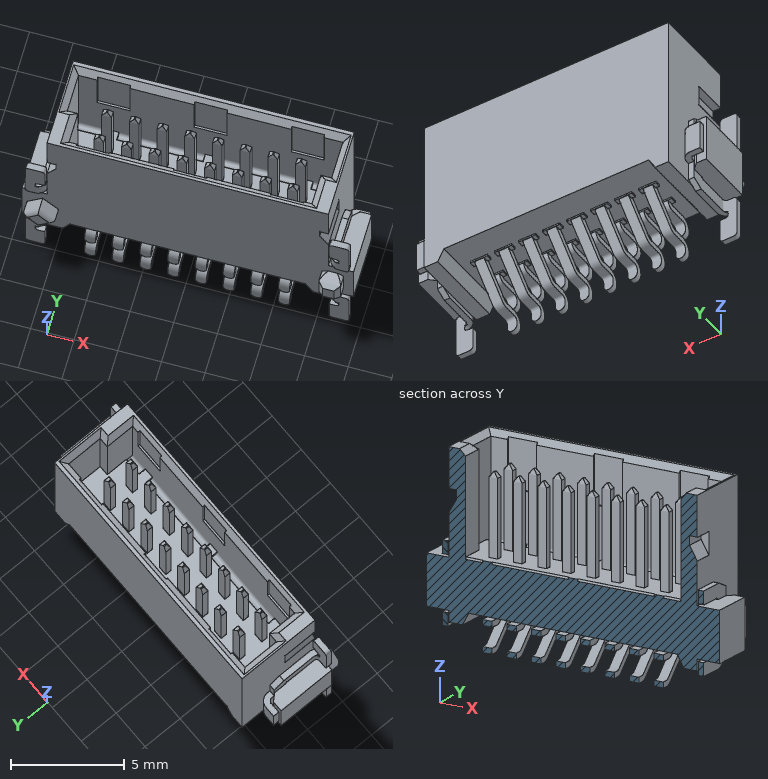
import cadquery as cq
import math


HALF_WIDTH = 6.45
DEPTH = 4.2
TOP_Z = 7.6
EAR_DROP = 0.6
EAR_TIP_X = 5.73
EAR_ROOT_X = 5.40

FLOOR_Z = 2.6
LEAD_IN = 0.3
CAVITY_HALF_WIDTH = 6.06
CAVITY_FRONT_Y = 0.44
CAVITY_BACK_Y = 3.71
KEY_HALF_WIDTH = 5.57
KEY_Y = 1.90

RIB_PITCH = 4.45
RECESS_WIDTH = 1.5
RECESS_DEPTH = 0.1
RECESS_BOTTOM_Z = 5.05
RIB_WIDTH = 0.5
GROOVE_RADIUS = 0.185

NOTCH_DEPTH = 0.4
NOTCH_LENGTH_Y = 1.74
NOTCH_TOP_Z = 5.63
NOTCH_BEND_Z = 5.20
NOTCH_BOTTOM_Z = 4.53

WING_OUTER_X = 15.21 / 2
WING_DEPTH = 2.92
WING_HEIGHT = 2.5
WING_MID_Z = 1.2
SLOT_OUTER_X = 6.78
SLOT_FRONT_Y = 1.99
SLOT_LEAD_IN = 0.3

PEG_X = 6.65
PEG_DIAMETER = 1.45
PEG_LENGTH = 0.75
PEG_TIP_LENGTH = 0.25
PEG_SHANK_LENGTH = PEG_LENGTH - PEG_TIP_LENGTH
DIAMOND_TIP_INSET = 0.16
FLAT_PEG_HALF_WIDTH = 0.5
FLAT_PEG_TIP_HALF_WIDTH = 0.26
FLAT_PEG_TIP_HALF_HEIGHT = 0.4
FLAT_PEG_ROOT_HALF_HEIGHT = 0.7

SHEET = 0.3
BOARD_Y = -0.13

CONTACTS_PER_ROW = 8
PITCH = 1.27
FRONT_ROW_Y = 1.43
BACK_ROW_Y = FRONT_ROW_Y + PITCH
PIN_WIDTH = 0.45
PIN_TOP_Z = 6.6
PIN_TIP_HEIGHT = 0.25
PIN_TIP_WIDTH = 0.05
PIN_TIP_THICKNESS = 0.15
LEG_WIDTH = 0.51
LEG_BEND_RADIUS = 0.2
FRONT_LEG_TOP_Z = -0.14
FRONT_LEG_END_Z = -1.08
BACK_LEG_TOP_Z = -1.40
BACK_LEG_END_Z = -2.34
FRONT_LEG_ROOT_RADIUS = 0.1
LEG_ROOT_Z = 0.3
BACK_LEG_HALF_BEND = math.radians(45) / 2
SHOULDER_WIDTH = 0.9
SHOULDER_DROP = 0.09

CLIP_BEND_RADIUS = 0.18
CLIP_BACK_Y = 2.63
CLIP_CHAMFER_START_Y = 2.07
CLIP_BACK_HALF_HEIGHT = 1.72
ARM_TOP = 2.0
ARM_BOTTOM = 1.34
MOUTH_CHAMFER_Y = 0.1
CURL_HALF_HEIGHT = 0.775
CURL_END_X = 7.48
CURL_INNER_Y = 2.95
FOOT_OUTER_X = 7.425
FOOT_INNER_X = 6.515
FOOT_TOP = 3.6
FOOT_CORNER_RADIUS = 0.18
RELIEF_WIDTH = 0.32

WING_BOTTOM_Z = WING_MID_Z - WING_HEIGHT / 2
CLIP_BEND_X = SLOT_OUTER_X + CLIP_BEND_RADIUS
CLIP_OUTER_RADIUS = CLIP_BEND_RADIUS + SHEET
CLIP_INNER_X = SLOT_OUTER_X - SHEET
SQRT_HALF = math.sqrt(0.5)


def box(x0, x1, y0, y1, z0, z1):
    """Box given by its limits on each axis."""
    return cq.Workplane("XY").box(x1 - x0, y1 - y0, z1 - z0, centered=False).translate((x0, y0, z0))


def mirrored_pair(shape):
    """A feature on the +X end together with its mirror image on the -X end."""
    return shape.union(shape.mirror("YZ"))


def rib_positions():
    return [-RIB_PITCH, 0, RIB_PITCH]



def shroud():
    outline = [
        (-HALF_WIDTH, TOP_Z),
        (HALF_WIDTH, TOP_Z),
        (HALF_WIDTH, -EAR_DROP),
        (EAR_TIP_X, -EAR_DROP),
        (EAR_ROOT_X, 0),
        (-EAR_ROOT_X, 0),
        (-EAR_TIP_X, -EAR_DROP),
        (-HALF_WIDTH, -EAR_DROP),
    ]
    return cq.Workplane("XZ").polyline(outline).close().extrude(-DEPTH)


def cavity_outline(z, grow):
    """T-shaped cavity outline at height z, moved outward by grow."""
    wide = CAVITY_HALF_WIDTH + grow
    narrow = KEY_HALF_WIDTH + grow
    front = CAVITY_FRONT_Y - grow
    back = CAVITY_BACK_Y + grow
    key = KEY_Y - grow
    points = [
        (-wide, back),
        (wide, back),
        (wide, key),
        (narrow, key),
        (narrow, front),
        (-narrow, front),
        (-narrow, key),
        (-wide, key),
    ]
    return cq.Workplane("XY").workplane(offset=z).polyline(points).close()


def cavity():
    straight = cavity_outline(FLOOR_Z, 0).extrude(TOP_Z - FLOOR_Z)
    mouth = cq.Solid.makeLoft(
        [
            cavity_outline(TOP_Z - LEAD_IN, 0).wire().val(),
            cavity_outline(TOP_Z, LEAD_IN).wire().val(),
        ],
        True,
    )
    return straight.union(cq.Workplane(mouth))


def wall_recesses():
    """Shallow recesses in both long cavity walls."""
    cutter = cq.Workplane("XY")
    for x in rib_positions():
        cutter = cutter.union(
            box(
                x - RECESS_WIDTH / 2, x + RECESS_WIDTH / 2,
                CAVITY_FRONT_Y - RECESS_DEPTH, CAVITY_BACK_Y + RECESS_DEPTH,
                RECESS_BOTTOM_Z, TOP_Z,
            )
        )
    return cutter


def floor_groove(y, half_length):
    """Half-round groove in the cavity floor, interrupted at each rib."""
    groove = (
        cq.Workplane("YZ")
        .center(y, FLOOR_Z)
        .circle(GROOVE_RADIUS)
        .extrude(half_length, both=True)
    )
    for x in rib_positions():
        groove = groove.cut(
            box(
                x - RIB_WIDTH / 2, x + RIB_WIDTH / 2,
                y - GROOVE_RADIUS, y + GROOVE_RADIUS,
                FLOOR_Z - GROOVE_RADIUS, FLOOR_Z + GROOVE_RADIUS,
            )
        )
    return groove


def end_notch():
    inner_x = HALF_WIDTH - NOTCH_DEPTH
    outline = [
        (HALF_WIDTH, NOTCH_TOP_Z),
        (inner_x, NOTCH_TOP_Z),
        (inner_x, NOTCH_BEND_Z),
        (HALF_WIDTH, NOTCH_BOTTOM_Z),
    ]
    return cq.Workplane("XZ").polyline(outline).close().extrude(-NOTCH_LENGTH_Y)


def wing():
    """Side block with a slot, open to the back, for the hold-down clip."""
    outline = [
        (HALF_WIDTH, 0),
        (WING_OUTER_X, 0),
        (WING_OUTER_X, WING_DEPTH),
        (SLOT_OUTER_X + SLOT_LEAD_IN, WING_DEPTH),
        (SLOT_OUTER_X, WING_DEPTH - SLOT_LEAD_IN),
        (SLOT_OUTER_X, SLOT_FRONT_Y),
        (HALF_WIDTH, SLOT_FRONT_Y),
    ]
    block = cq.Workplane("XY").polyline(outline).close().extrude(WING_HEIGHT)
    return block.translate((0, 0, WING_BOTTOM_Z))


def diamond_profile(plane):
    """Side profile of the square peg: straight shank and rounded tip."""
    half_side = PEG_DIAMETER / 2 * SQRT_HALF
    tip = half_side - DIAMOND_TIP_INSET
    tip_radius = (DIAMOND_TIP_INSET**2 + PEG_TIP_LENGTH**2) / (2 * DIAMOND_TIP_INSET)
    return (
        cq.Workplane(plane)
        .moveTo(-half_side, 0)
        .lineTo(half_side, 0)
        .lineTo(half_side, -PEG_SHANK_LENGTH)
        .radiusArc((tip, -PEG_LENGTH), tip_radius)
        .lineTo(-tip, -PEG_LENGTH)
        .radiusArc((-half_side, -PEG_SHANK_LENGTH), tip_radius)
        .close()
        .extrude(PEG_DIAMETER, both=True)
    )


def diamond_peg():
    """Square peg standing on its corner, on the -X wing."""
    peg = diamond_profile("XY").intersect(diamond_profile("ZY"))
    peg = peg.rotate((0, 0, 0), (0, 1, 0), 45)
    return peg.translate((-PEG_X, 0, WING_MID_Z))


def tapered_profile(plane, root, shoulder, tip):
    """Side profile of the flat peg, from its half widths at root, shoulder and tip."""
    points = [
        (-root, 0),
        (root, 0),
        (shoulder, -PEG_SHANK_LENGTH),
        (tip, -PEG_LENGTH),
        (-tip, -PEG_LENGTH),
        (-shoulder, -PEG_SHANK_LENGTH),
    ]
    return cq.Workplane(plane).polyline(points).close().extrude(PEG_DIAMETER, both=True)


def flat_peg():
    """Round peg with flat sides and sloping top and bottom, on the +X wing."""
    shoulder_half_height = math.sqrt((PEG_DIAMETER / 2) ** 2 - FLAT_PEG_HALF_WIDTH**2)
    peg = cq.Workplane("XZ").circle(PEG_DIAMETER / 2).extrude(PEG_LENGTH)
    peg = peg.intersect(
        tapered_profile("XY", FLAT_PEG_HALF_WIDTH, FLAT_PEG_HALF_WIDTH, FLAT_PEG_TIP_HALF_WIDTH)
    )
    peg = peg.intersect(
        tapered_profile("ZY", FLAT_PEG_ROOT_HALF_HEIGHT, shoulder_half_height, FLAT_PEG_TIP_HALF_HEIGHT)
    )
    return peg.translate((PEG_X, 0, WING_MID_Z))


def moulding():
    body = shroud().cut(cavity()).cut(wall_recesses())
    body = body.cut(floor_groove(CAVITY_BACK_Y - GROOVE_RADIUS, CAVITY_HALF_WIDTH))
    body = body.cut(floor_groove(CAVITY_FRONT_Y + GROOVE_RADIUS, KEY_HALF_WIDTH))
    body = body.cut(mirrored_pair(end_notch())).union(mirrored_pair(wing()))
    return body.union(diamond_peg()).union(flat_peg())



def pin(row_y):
    """Mating pin with a tapered tip, and its shoulder on the housing underside."""
    shank_top = PIN_TOP_Z - PIN_TIP_HEIGHT
    shank = box(
        -PIN_WIDTH / 2, PIN_WIDTH / 2,
        row_y - SHEET / 2, row_y + SHEET / 2,
        FLOOR_Z, shank_top,
    )
    tip = (
        cq.Workplane("XY")
        .workplane(offset=shank_top)
        .center(0, row_y)
        .rect(PIN_WIDTH, SHEET)
        .workplane(offset=PIN_TIP_HEIGHT)
        .rect(PIN_TIP_WIDTH, PIN_TIP_THICKNESS)
        .loft()
    )
    shoulder = box(
        -SHOULDER_WIDTH / 2, SHOULDER_WIDTH / 2,
        row_y - SHEET / 2, row_y + SHEET / 2,
        -SHOULDER_DROP, 0,
    )
    return shank.union(tip).union(shoulder)


def round_foot_end(leg, end_z):
    """Trim the foot of a leg to a half-round end."""
    radius = LEG_WIDTH / 2
    envelope = (
        cq.Workplane("XZ")
        .moveTo(-radius, TOP_Z)
        .lineTo(-radius, end_z + radius)
        .threePointArc((0, end_z), (radius, end_z + radius))
        .lineTo(radius, TOP_Z)
        .close()
        .extrude(-DEPTH)
        .translate((0, BOARD_Y, 0))
    )
    return leg.intersect(envelope)


def leg_path(top_z, end_z):
    """Centre line of a leg, from the foot end up around its bend to the level run."""
    radius = LEG_BEND_RADIUS + SHEET / 2
    foot_y = BOARD_Y + SHEET / 2
    level_z = top_z - SHEET / 2
    arc_mid = (foot_y + radius * (1 - SQRT_HALF), level_z - radius * (1 - SQRT_HALF))
    return (
        cq.Workplane("YZ")
        .moveTo(foot_y, end_z)
        .lineTo(foot_y, level_z - radius)
        .threePointArc(arc_mid, (foot_y + radius, level_z))
    )


def sweep_strip(path, end_z):
    """Sweep the flat contact section along a leg centre line starting at the foot end."""
    section = (
        cq.Workplane("XY")
        .workplane(offset=end_z)
        .center(0, BOARD_Y + SHEET / 2)
        .rect(LEG_WIDTH, SHEET)
    )
    return section.sweep(path, transition="right")


def front_leg():
    """Leg that turns straight from the housing underside toward the board."""
    radius = FRONT_LEG_ROOT_RADIUS + SHEET / 2
    level_z = FRONT_LEG_TOP_Z - SHEET / 2
    arc_mid = (FRONT_ROW_Y - radius * (1 - SQRT_HALF), level_z + radius * (1 - SQRT_HALF))
    path = (
        leg_path(FRONT_LEG_TOP_Z, FRONT_LEG_END_Z)
        .lineTo(FRONT_ROW_Y - radius, level_z)
        .threePointArc(arc_mid, (FRONT_ROW_Y, level_z + radius))
        .lineTo(FRONT_ROW_Y, LEG_ROOT_Z)
    )
    return round_foot_end(sweep_strip(path, FRONT_LEG_END_Z), FRONT_LEG_END_Z)


def back_leg():
    """Leg that slopes down at 45 degrees behind the front row, then runs level to the board."""
    radius = LEG_BEND_RADIUS + SHEET / 2
    level_z = BACK_LEG_TOP_Z - SHEET / 2
    corner_y = BACK_ROW_Y + level_z
    setback = radius * math.tan(BACK_LEG_HALF_BEND)
    arc_mid = (
        corner_y - setback + radius * math.sin(BACK_LEG_HALF_BEND),
        level_z + radius * (1 - math.cos(BACK_LEG_HALF_BEND)),
    )
    slope_start = (corner_y + setback * SQRT_HALF, level_z + setback * SQRT_HALF)
    path = (
        leg_path(BACK_LEG_TOP_Z, BACK_LEG_END_Z)
        .lineTo(corner_y - setback, level_z)
        .threePointArc(arc_mid, slope_start)
        .lineTo(BACK_ROW_Y, 0)
        .lineTo(BACK_ROW_Y, LEG_ROOT_Z)
    )
    return round_foot_end(sweep_strip(path, BACK_LEG_END_Z), BACK_LEG_END_Z)


def contacts():
    """All contacts of both rows, as one list of shapes."""
    front = pin(FRONT_ROW_Y).union(front_leg())
    back = pin(BACK_ROW_Y).union(back_leg())
    shapes = []
    for index in range(CONTACTS_PER_ROW):
        x = (index - (CONTACTS_PER_ROW - 1) / 2) * PITCH
        shapes.append(front.translate((x, 0, 0)))
        shapes.append(back.translate((x, 0, 0)))
    return shapes



def clip_plate():
    """Flat web of the clip: a C that straddles the wing, with chamfered back corners."""
    bend_y = BOARD_Y + SHEET + CLIP_BEND_RADIUS
    upper = [
        (CLIP_BACK_Y, CLIP_BACK_HALF_HEIGHT),
        (CLIP_CHAMFER_START_Y, ARM_TOP),
        (bend_y, ARM_TOP),
        (bend_y, ARM_BOTTOM),
        (SLOT_FRONT_Y - MOUTH_CHAMFER_Y, ARM_BOTTOM),
        (SLOT_FRONT_Y, WING_HEIGHT / 2),
    ]
    lower = [(y, -z) for y, z in reversed(upper)]
    return (
        cq.Workplane("YZ")
        .workplane(offset=CLIP_INNER_X)
        .polyline(upper + lower)
        .close()
        .extrude(SHEET)
    )


def clip_curl():
    """Tongue at the back that bends outward behind the wing."""
    bend_y = CURL_INNER_Y - CLIP_BEND_RADIUS
    outer_y = CURL_INNER_Y + SHEET
    return (
        cq.Workplane("XY")
        .workplane(offset=-CURL_HALF_HEIGHT)
        .moveTo(CLIP_INNER_X, CLIP_BACK_Y)
        .lineTo(CLIP_INNER_X, bend_y)
        .radiusArc((CLIP_BEND_X, outer_y), CLIP_OUTER_RADIUS)
        .lineTo(CURL_END_X, outer_y)
        .lineTo(CURL_END_X, CURL_INNER_Y)
        .lineTo(CLIP_BEND_X, CURL_INNER_Y)
        .radiusArc((SLOT_OUTER_X, bend_y), -CLIP_BEND_RADIUS)
        .lineTo(SLOT_OUTER_X, CLIP_BACK_Y)
        .close()
        .extrude(2 * CURL_HALF_HEIGHT)
    )


def clip_foot():
    """Upper solder foot with its relief slot and the bend that joins it to the web."""
    inner_y = BOARD_Y + SHEET
    bend_y = inner_y + CLIP_BEND_RADIUS
    relief_radius = RELIEF_WIDTH / 2
    relief_z = ARM_TOP + relief_radius
    relief_x = CLIP_BEND_X - relief_radius
    bend = (
        cq.Workplane("XY")
        .workplane(offset=ARM_BOTTOM)
        .moveTo(CLIP_INNER_X, bend_y)
        .radiusArc((CLIP_BEND_X, BOARD_Y), -CLIP_OUTER_RADIUS)
        .lineTo(CLIP_BEND_X, inner_y)
        .radiusArc((SLOT_OUTER_X, bend_y), CLIP_BEND_RADIUS)
        .close()
        .extrude(ARM_TOP - ARM_BOTTOM)
    )
    relief = (
        cq.Workplane("XZ")
        .center(relief_x, relief_z)
        .circle(relief_radius)
        .extrude(DEPTH, both=True)
        .union(box(CLIP_INNER_X, relief_x, -DEPTH, DEPTH, ARM_TOP, ARM_TOP + RELIEF_WIDTH))
    )
    bend_room = box(CLIP_INNER_X, CLIP_BEND_X, -DEPTH, DEPTH, ARM_BOTTOM, ARM_TOP)
    pad = (
        box(FOOT_INNER_X, FOOT_OUTER_X, BOARD_Y, inner_y, ARM_BOTTOM, FOOT_TOP)
        .edges("|Y")
        .fillet(FOOT_CORNER_RADIUS)
        .cut(relief)
        .cut(bend_room)
    )
    return pad.union(bend)


def hold_down_clip():
    foot = clip_foot()
    clip = clip_plate().union(clip_curl()).union(foot).union(foot.mirror("XY"))
    return clip.translate((0, 0, WING_MID_Z))



right_clip = hold_down_clip()
housing = moulding()
for contact in contacts():
    housing = housing.union(contact)
housing = housing.union(right_clip)

left_clip = right_clip.mirror("YZ")

result = cq.Compound.makeCompound([housing.val(), left_clip.val()])